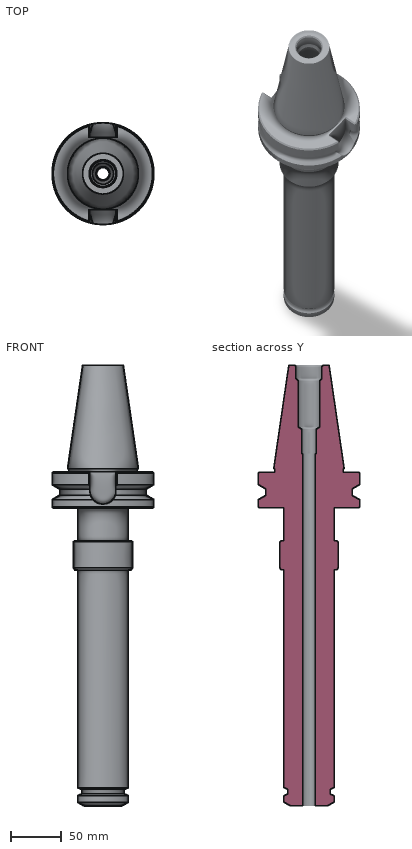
import cadquery as cq
import math

total_length = 433.5
gauge_z = 331.5
flange_top_z = 328.5
flange_bottom_z = 293.0

gauge_diameter = 70.0
taper_ratio = 7 / 24
taper_top_diameter = gauge_diameter - (total_length - gauge_z) * taper_ratio
neck_diameter = 67.5

flange_diameter = 100.0
groove_diameter = 85.5
groove_floor_top_z = 311.8
groove_floor_bottom_z = 305.5
groove_flank_slope = math.tan(math.radians(30))
groove_flank_height = (flange_diameter - groove_diameter) / 2 * groove_flank_slope
rim_chamfer = 1.5

slot_width = 25.5
slot_floor_distance = 35.5
slot_chamfer = 1.5
slot_bottom_z = 297.0

body_diameter = 50.0
collar_diameter = 58.0
collar_top_z = 261.0
collar_bottom_z = 232.0
collar_end_diameter = 55.0
collar_top_chamfer_height = 1.5
collar_bottom_chamfer_height = 2.5

nose_groove_diameter = 42.0
nose_groove_top_z = 18.0
nose_groove_bottom_z = 10.5
nose_groove_flank = 1.7
nose_end_diameter = 36.0
nose_chamfer_height = 4.0

through_hole_diameter = 12.0
mouth_diameter = 27.5
counterbore_diameter = 25.0
thread_diameter = 21.0
pilot_diameter = 14.0
mouth_chamfer_height = 1.5
counterbore_depth = 13
counterbore_cone_height = 2.0
thread_depth = 60.5
thread_cone_height = 2.0
pilot_depth = 86.7


def revolve_outline(outline):
    """Turn a closed (radius, z) outline around the Z axis."""
    return cq.Workplane("XZ").polyline(outline).close().revolve(360, (0, 0), (0, 1))


def make_body():
    """Revolve the outer outline around the Z axis."""
    taper_top = taper_top_diameter / 2
    gauge = gauge_diameter / 2
    neck = neck_diameter / 2
    rim = flange_diameter / 2
    groove = groove_diameter / 2
    body = body_diameter / 2
    collar = collar_diameter / 2
    collar_end = collar_end_diameter / 2
    nose_groove = nose_groove_diameter / 2
    outline = [
        (0, 0),
        (nose_end_diameter / 2, 0),
        (body, nose_chamfer_height),
        (body, nose_groove_bottom_z),
        (nose_groove, nose_groove_bottom_z + nose_groove_flank),
        (nose_groove, nose_groove_top_z - nose_groove_flank),
        (body, nose_groove_top_z),
        (body, collar_bottom_z),
        (collar_end, collar_bottom_z),
        (collar, collar_bottom_z + collar_bottom_chamfer_height),
        (collar, collar_top_z - collar_top_chamfer_height),
        (collar_end, collar_top_z),
        (body, collar_top_z),
        (body, flange_bottom_z),
        (rim - rim_chamfer, flange_bottom_z),
        (rim, flange_bottom_z + rim_chamfer),
        (rim, groove_floor_bottom_z - groove_flank_height),
        (groove, groove_floor_bottom_z),
        (groove, groove_floor_top_z),
        (rim, groove_floor_top_z + groove_flank_height),
        (rim, flange_top_z - rim_chamfer),
        (rim - rim_chamfer, flange_top_z),
        (neck, flange_top_z),
        (neck, gauge_z),
        (gauge, gauge_z),
        (taper_top, total_length),
        (0, total_length),
    ]
    return revolve_outline(outline)


def drive_slot(side):
    """Round-bottomed slot cutter outside the flat floor on the given Y side."""
    radius = slot_width / 2
    straight_z = slot_bottom_z + radius
    return (
        cq.Workplane("XZ", origin=(0, side * slot_floor_distance, 0))
        .moveTo(-radius, total_length)
        .lineTo(-radius, straight_z)
        .threePointArc((0, slot_bottom_z), (radius, straight_z))
        .lineTo(radius, total_length)
        .close()
        .extrude(-side * flange_diameter)
    )


def rim_flare(side):
    """Wedge cutter that chamfers the upright slot edges at the rim of the upper flange."""
    half_width = slot_width / 2
    rim_y = math.sqrt((flange_diameter / 2) ** 2 - (half_width + slot_chamfer) ** 2)
    inner_y = side * (rim_y - slot_chamfer)
    outer_y = side * (rim_y + slot_chamfer)
    flare = half_width + 2 * slot_chamfer
    return (
        cq.Workplane("XY", origin=(0, 0, groove_floor_top_z))
        .polyline([(-half_width, inner_y), (half_width, inner_y), (flare, outer_y), (-flare, outer_y)])
        .close()
        .extrude(total_length - groove_floor_top_z)
    )


def top_flare(side):
    """Wedge cutter that chamfers the slot edges in the top face of the flange."""
    half_width = slot_width / 2
    return (
        cq.Workplane("XZ", origin=(0, side * slot_floor_distance, 0))
        .polyline([
            (-half_width, flange_top_z - slot_chamfer),
            (half_width, flange_top_z - slot_chamfer),
            (half_width + slot_chamfer, flange_top_z),
            (-half_width - slot_chamfer, flange_top_z),
        ])
        .close()
        .extrude(-side * flange_diameter)
    )


def make_bore():
    """Revolve the stepped through bore around the Z axis."""
    through = through_hole_diameter / 2
    pilot = pilot_diameter / 2
    thread = thread_diameter / 2
    counterbore = counterbore_diameter / 2
    mouth_z = total_length - mouth_chamfer_height
    counterbore_z = total_length - counterbore_depth
    thread_bottom_z = total_length - thread_depth
    pilot_bottom_z = total_length - pilot_depth
    outline = [
        (0, 0),
        (through, 0),
        (through, pilot_bottom_z),
        (pilot, pilot_bottom_z),
        (pilot, thread_bottom_z - thread_cone_height),
        (thread, thread_bottom_z),
        (thread, counterbore_z - counterbore_cone_height),
        (counterbore, counterbore_z),
        (counterbore, mouth_z),
        (mouth_diameter / 2, total_length),
        (0, total_length),
    ]
    return revolve_outline(outline)


result = make_body().cut(make_bore())
for side in (-1, 1):
    result = result.cut(drive_slot(side)).cut(rim_flare(side)).cut(top_flare(side))